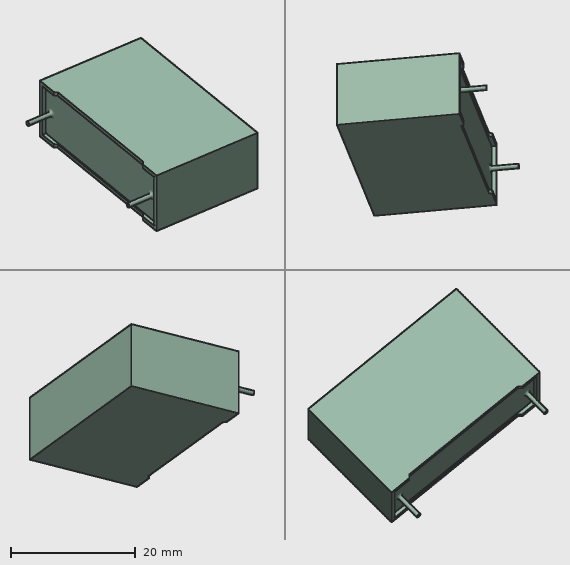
import cadquery as cq

LENGTH = 32.0
DEPTH = 20.0
HEIGHT = 11.0
WALL = 0.7

RELIEF_DEPTH = 0.48
RELIEF_END_DISTANCE = 3.8
RELIEF_SLOPE_RUN = 0.48

FILL_RECESS = 0.7

PIN_DIAMETER = 0.8
PIN_PITCH = 27.5
PIN_PROTRUSION = 4.0
COLLAR_RADIUS = 0.5

CAVITY_LENGTH = LENGTH - 2 * WALL
CAVITY_HEIGHT = HEIGHT - 2 * WALL
CAVITY_DEPTH = DEPTH - WALL
FILL_DEPTH = CAVITY_DEPTH - FILL_RECESS


def block_behind(y_front, length, depth, height):
    """Box centred in X and Z that extends in +Y from y_front."""
    return cq.Workplane("XY").box(length, depth, height, centered=(True, False, True)).translate((0, y_front, 0))


def make_mouth_relief():
    """Trapezoidal cutter that passes through both long walls at the mouth."""
    half_front = LENGTH / 2 - RELIEF_END_DISTANCE
    half_back = half_front - RELIEF_SLOPE_RUN
    return (
        cq.Workplane("XY")
        .polyline([(-half_front, 0), (half_front, 0), (half_back, RELIEF_DEPTH), (-half_back, RELIEF_DEPTH)])
        .close()
        .extrude(HEIGHT / 2, both=True)
    )


def make_housing():
    outer = block_behind(0, LENGTH, DEPTH, HEIGHT)
    cavity = block_behind(0, CAVITY_LENGTH, CAVITY_DEPTH, CAVITY_HEIGHT)
    return outer.cut(cavity).cut(make_mouth_relief())


def make_pin(x):
    """Round pin along Y whose root flares out in a concave fillet onto the filling."""
    pin_radius = PIN_DIAMETER / 2
    flare_radius = pin_radius + COLLAR_RADIUS
    flare_end = FILL_RECESS - COLLAR_RADIUS
    return (
        cq.Workplane("XY")
        .moveTo(0, -PIN_PROTRUSION)
        .lineTo(pin_radius, -PIN_PROTRUSION)
        .lineTo(pin_radius, flare_end)
        .radiusArc((flare_radius, FILL_RECESS), COLLAR_RADIUS)
        .lineTo(0, FILL_RECESS)
        .close()
        .revolve(360, (0, 0, 0), (0, 1, 0))
        .translate((x, 0, 0))
    )


def make_filling():
    """Filling block together with the two pins that stand on its face."""
    filling = block_behind(FILL_RECESS, CAVITY_LENGTH, FILL_DEPTH, CAVITY_HEIGHT)
    for x in (-PIN_PITCH / 2, PIN_PITCH / 2):
        filling = filling.union(make_pin(x))
    return filling


housing = make_housing()
filling = make_filling()

result = cq.Compound.makeCompound([housing.solids().val(), filling.solids().val()])